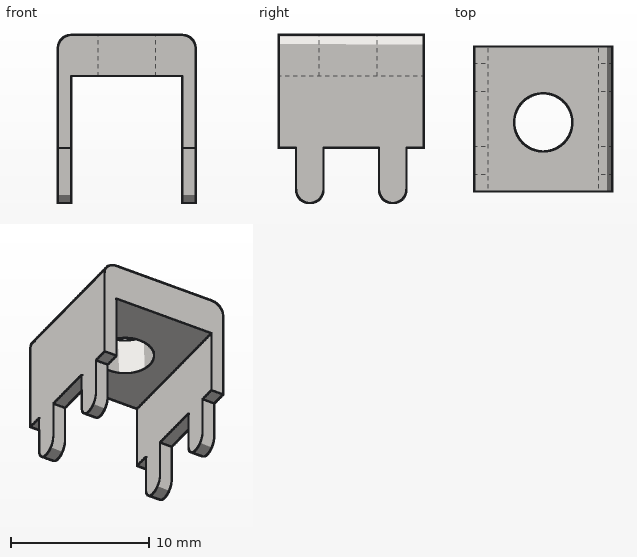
import cadquery as cq

width = 10.0
depth = 10.5
height = 12.2

wall = 1.0
top_thickness = 3.0
corner_radius = wall

pin_length = 4.0
pin_width = 2.0
pin_spacing = 6.0

hole_diameter = 4.2
hole_offset_y = -0.25

inner_width = width - 2 * wall
body_height = height - pin_length


def make_bracket():
    """Inverted U: a thick top plate on two thin side walls."""
    block = (
        cq.Workplane("XY")
        .box(width, depth, body_height, centered=(True, True, False))
        .edges("|Y and >Z")
        .fillet(corner_radius)
    )
    channel = cq.Workplane("XY").box(
        inner_width, depth, body_height - top_thickness, centered=(True, True, False)
    )
    return block.cut(channel).translate((0, 0, pin_length))


def make_pin(x_start, y_center):
    """Pin as thick as the wall, with a fully rounded lower end."""
    radius = pin_width / 2
    return (
        cq.Workplane("YZ", origin=(x_start, y_center, 0))
        .moveTo(-radius, pin_length)
        .lineTo(-radius, radius)
        .threePointArc((0, 0), (radius, radius))
        .lineTo(radius, pin_length)
        .close()
        .extrude(wall)
    )


def make_screw_hole():
    """Round cutter through the top plate, slightly off center in Y."""
    return (
        cq.Workplane("XY", origin=(0, hole_offset_y, height - top_thickness))
        .circle(hole_diameter / 2)
        .extrude(top_thickness)
    )


result = make_bracket().cut(make_screw_hole())
for wall_start in (-width / 2, inner_width / 2):
    for pin_y in (-pin_spacing / 2, pin_spacing / 2):
        result = result.union(make_pin(wall_start, pin_y))